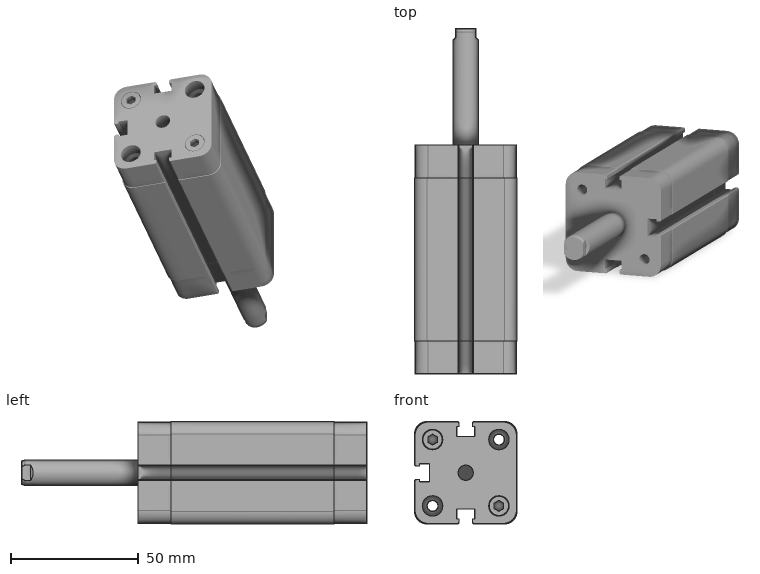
import cadquery as cq
import math


total_length = 135
cap_length = 12.8
tube_length = 63.9
body_length = tube_length + 2 * cap_length

tube_width = 40.1
cap_width = 39.5
corner_radius = 5.0

slot_mouth_width = 5.3
slot_inner_width = 7.0
tube_slot_depth = 6.0
cap_slot_depth = 5.8
slot_lip = 2.0
slot_mouth_chamfer = 0.4
slot_side_angles = (0, 90, 180)

rod_diameter = 10.0
rod_tip_chamfer = 0.4
rod_tip_chamfer_length = 1.4
rod_flat_width = 8.0
rod_flat_length = 3.5

hole_offset = 13.0
counterbore_diameter = 8.0
counterbore_depth = 5.4
through_diameter = 4.2
center_hole_diameter = 6.0
center_hole_depth = 10.8
screw_head_diameter = 7.5
socket_across_flats = 3.6
socket_depth = 2.7
open_corners = [(hole_offset, hole_offset), (-hole_offset, -hole_offset)]
screw_corners = [(-hole_offset, hole_offset), (hole_offset, -hole_offset)]


def plane_at(y):
    """Work plane facing -Y at the given position, with local axes along X and Z."""
    return cq.Workplane("XZ", origin=(0, y, 0))


def slot_cutter(outer_width, slot_depth, start, length):
    """T-slot prism in the top side of a body section of the given width."""
    face = outer_width / 2
    mouth = slot_mouth_width / 2
    inner = slot_inner_width / 2
    lip_bottom = tube_width / 2 - slot_lip
    floor = tube_width / 2 - slot_depth
    right_side = [
        (mouth + slot_mouth_chamfer, face),
        (mouth, face - slot_mouth_chamfer),
        (mouth, lip_bottom),
        (inner, lip_bottom),
        (inner, floor),
    ]
    left_side = [(-x, z) for x, z in reversed(right_side)]
    return plane_at(start).polyline(right_side + left_side).close().extrude(-length)


def body_section(width, slot_depth, start, length):
    """Rounded square block with a T-slot in three of its sides."""
    section = plane_at(start).rect(width, width).extrude(-length)
    section = section.edges("|Y").fillet(corner_radius)
    slot = slot_cutter(width, slot_depth, start, length)
    for angle in slot_side_angles:
        section = section.cut(slot.rotate((0, 0, 0), (0, -1, 0), angle))
    return section


def piston_rod():
    """Rod with a tapered tip and two wrench flats that run out at 45 degrees."""
    radius = rod_diameter / 2
    flat = rod_flat_width / 2
    flat_start = total_length - rod_flat_length
    profile = [
        (0, body_length),
        (radius, body_length),
        (radius, total_length - rod_tip_chamfer_length),
        (radius - rod_tip_chamfer, total_length),
        (0, total_length),
    ]
    rod = cq.Workplane("XY").polyline(profile).close().revolve(360, (0, 0, 0), (0, 1, 0))
    flat_outline = [
        (flat, total_length),
        (flat, flat_start),
        (radius, flat_start - (radius - flat)),
        (radius, total_length),
    ]
    flat_cut = cq.Workplane("XY").polyline(flat_outline).close().extrude(radius, both=True)
    return rod.cut(flat_cut).cut(flat_cut.mirror("YZ"))


def front_holes():
    """Counterbores at all four corners, two through holes and the centre hole."""
    counterbores = plane_at(0).pushPoints(open_corners + screw_corners)
    counterbores = counterbores.circle(counterbore_diameter / 2).extrude(-counterbore_depth)
    through = plane_at(0).pushPoints(open_corners).circle(through_diameter / 2).extrude(-body_length)
    center = plane_at(0).circle(center_hole_diameter / 2).extrude(-center_hole_depth)
    return counterbores.union(through).union(center)


def screw_heads():
    """Flush screw heads with hexagon sockets whose corners point up and down."""
    socket_across_corners = socket_across_flats / math.cos(math.pi / 6)
    heads = plane_at(0).pushPoints(screw_corners)
    heads = heads.circle(screw_head_diameter / 2).extrude(-counterbore_depth)
    for x, z in screw_corners:
        socket = plane_at(0).polygon(6, socket_across_corners).extrude(-socket_depth)
        socket = socket.rotate((0, 0, 0), (0, 1, 0), 90)
        heads = heads.cut(socket.translate((x, 0, z)))
    return heads


front_cap = body_section(cap_width, cap_slot_depth, 0, cap_length)
tube = body_section(tube_width, tube_slot_depth, cap_length, tube_length)
rear_cap = body_section(cap_width, cap_slot_depth, cap_length + tube_length, cap_length)

body = front_cap.union(tube).union(rear_cap)
result = body.cut(front_holes()).union(screw_heads()).union(piston_rod())